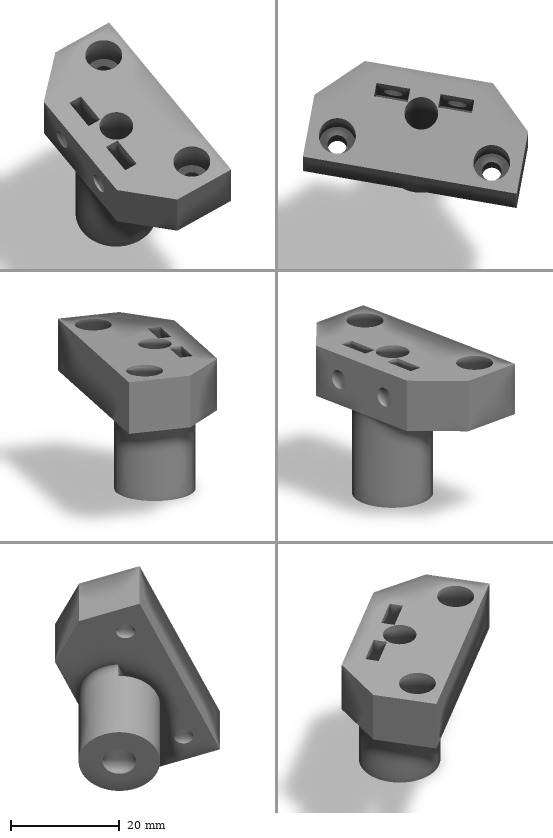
import cadquery as cq

block_length = 40.0
block_width = 20.0
block_height = 10.0
corner_cut = 8.0
axis_to_front = 8.0
front_y = -axis_to_front
back_y = front_y + block_width

sleeve_diameter = 15.0
sleeve_length = 18.0
bore_diameter = 6.2
notch_height = 3.0
notch_from_axis = 2.5

mount_offset = 14.45
mount_from_back = 5.0
mount_diameter = 3.6
counterbore_diameter = 6.8
counterbore_depth = 6.0

screw_offset = 6.0
screw_diameter = 3.6
slot_length = 6.3
slot_width = 2.55
slot_from_front = 3.75
slot_depth = block_height / 2 + slot_length / 2


def make_block():
    half_length = block_length / 2
    outline = [
        (-half_length, back_y),
        (half_length, back_y),
        (half_length, front_y + corner_cut),
        (half_length - corner_cut, front_y),
        (-half_length + corner_cut, front_y),
        (-half_length, front_y + corner_cut),
    ]
    return cq.Workplane("XY").polyline(outline).close().extrude(block_height)


def make_sleeve():
    sleeve = cq.Workplane("XY").circle(sleeve_diameter / 2).extrude(-sleeve_length)
    notch = (
        cq.Workplane("XY", origin=(0, notch_from_axis, -notch_height))
        .box(sleeve_diameter, sleeve_diameter, notch_height, centered=(True, False, False))
    )
    return sleeve.cut(notch)


def make_bore():
    return (
        cq.Workplane("XY", origin=(0, 0, -sleeve_length))
        .circle(bore_diameter / 2)
        .extrude(sleeve_length + block_height)
    )


def make_mount_hole(x):
    y = back_y - mount_from_back
    hole = cq.Workplane("XY", origin=(x, y, 0)).circle(mount_diameter / 2).extrude(block_height)
    counterbore = (
        cq.Workplane("XY", origin=(x, y, block_height))
        .circle(counterbore_diameter / 2)
        .extrude(-counterbore_depth)
    )
    return hole.union(counterbore)


def make_screw_hole_with_slot(x):
    slot_y = front_y + slot_from_front
    slot = (
        cq.Workplane("XY", origin=(x, slot_y, block_height - slot_depth))
        .box(slot_length, slot_width, slot_depth, centered=(True, False, False))
    )
    hole = (
        cq.Workplane("XZ", origin=(x, front_y, block_height / 2))
        .circle(screw_diameter / 2)
        .extrude(-(slot_from_front + slot_width))
    )
    return slot.union(hole)


result = make_block().union(make_sleeve()).cut(make_bore())
for side in (-1, 1):
    result = result.cut(make_mount_hole(side * mount_offset))
    result = result.cut(make_screw_hole_with_slot(side * screw_offset))